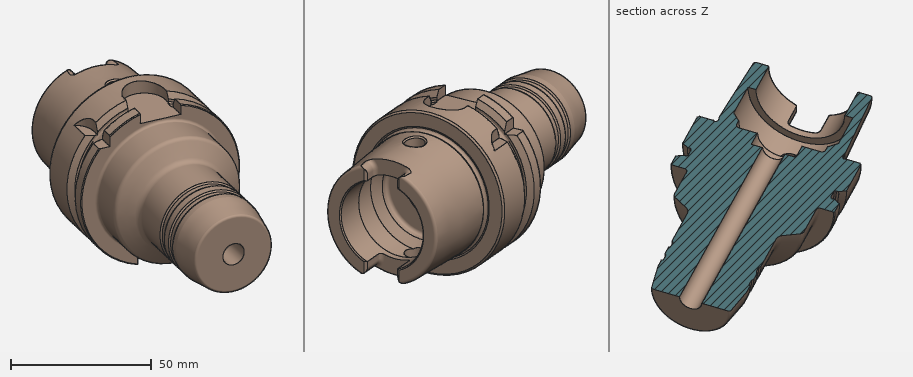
import cadquery as cq
import math

shank_length = 32.0
shank_front_round = 1.2
shank_front_radius = 21.6
taper_end_x = 30.1
taper_end_radius = 24.2

undercut_radius = 24.0
undercut_floor_x = 30.7
undercut_fillet = 0.9
undercut_outer_radius = 25.5
undercut_depth = 0.2

flange_radius = 31.5
flange_width = 26.0
flange_end_x = shank_length + flange_width
flange_front_chamfer = 0.7
flange_rear_chamfer = 0.4
groove_center_x = 50.0
groove_floor_width = 3.9
groove_flank_run = 1.4
groove_flank_angle = math.radians(30)
groove_floor_radius = 27.5
groove_corner_fillet = 0.6
groove_flank_drop = groove_flank_run / math.tan(groove_flank_angle)

shoulder_radius = 24.9
shoulder_root_fillet = 1.0
shoulder_round = 2.0
shoulder_round_start_x = 70.7
cone_angle = math.radians(60)
nose_root_fillet = 2.8

total_length = 117.0
nose_radius = 17.1
nose_taper_start_x = 105.7
nose_taper_end_radius = 15.3
nose_end_round = 0.9
ring_groove_starts = (92.4, 99.2)
ring_groove_width = 3.4
ring_groove_depth = 0.6

bore_chamfer = 0.5
bore_radius = 17.0
bore_straight_depth = 12.6
cavity_radius = 40.0 / 2
bore_depth = shank_length
bore_floor_fillet = 1.3
cavity_end_x = 26.0
step_bore_radius = 17.0 / 2
step_bore_depth = 5.8
through_hole_radius = 8.4 / 2

radial_hole_x = 23.0
radial_hole_diameter = 7.5
radial_hole_chamfer = 0.6

slot_half_width = 6.2
slot_lip_round = 2.8
slot_lip_z = 18.1
slot_floor_fillet = 1.5
slot_entry_chamfer = 1.0
slot_entry_length = 0.7
top_slot_depth = 6.0
bottom_slot_depth = 10.0

keyway_floor = 26.5
keyway_start_x = 37.0
top_keyway_width = 16.0
bottom_keyway_width = 18.0
notch_floor = 20.0
notch_start_x = 37.0
notch_end_radius = 8.0

clearance = 5.8


def add_arc(outline, center, radius, angles):
    """Extend the outline by an arc; angles holds its start and end directions in degrees."""
    start, end = angles
    points = []
    for degrees in ((start + end) / 2, end):
        angle = math.radians(degrees)
        points.append((center[0] + radius * math.cos(angle), center[1] + radius * math.sin(angle)))
    return outline.threePointArc(*points)


def revolve_about_x(outline):
    return outline.close().revolve(360, (0, 0, 0), (1, 0, 0))


def make_body():
    groove_left = groove_center_x - groove_floor_width / 2
    groove_right = groove_center_x + groove_floor_width / 2
    flank_root_radius = flange_radius - groove_flank_drop
    groove_arc_radius = groove_floor_radius + groove_corner_fillet

    cone_start_x = shoulder_round_start_x + shoulder_round * math.sin(cone_angle)
    cone_start_radius = shoulder_radius - shoulder_round * (1 - math.cos(cone_angle))
    cone_end_radius = nose_radius + nose_root_fillet * (1 - math.cos(cone_angle))
    cone_end_x = cone_start_x + (cone_start_radius - cone_end_radius) / math.tan(cone_angle)
    nose_start_x = cone_end_x + nose_root_fillet * math.sin(cone_angle)
    cone_degrees = math.degrees(cone_angle)

    outline = cq.Workplane("XY").lineTo(0, shank_front_radius)
    outline = add_arc(outline, (shank_front_round, shank_front_radius), shank_front_round, (180, 90))
    outline = outline.lineTo(taper_end_x, taper_end_radius).lineTo(undercut_floor_x, undercut_radius)

    undercut_bottom_x = shank_length + undercut_depth
    outline = outline.lineTo(undercut_bottom_x - undercut_fillet, undercut_radius)
    outline = add_arc(
        outline,
        (undercut_bottom_x - undercut_fillet, undercut_radius + undercut_fillet),
        undercut_fillet,
        (-90, 0),
    )
    outline = (
        outline.lineTo(shank_length, undercut_outer_radius)
        .lineTo(shank_length, flange_radius - flange_front_chamfer)
        .lineTo(shank_length + flange_front_chamfer, flange_radius)
        .lineTo(groove_left - groove_flank_run, flange_radius)
        .lineTo(groove_left, flank_root_radius)
        .lineTo(groove_left, groove_arc_radius)
    )
    outline = add_arc(
        outline, (groove_left + groove_corner_fillet, groove_arc_radius), groove_corner_fillet, (180, 270)
    )
    outline = outline.lineTo(groove_right - groove_corner_fillet, groove_floor_radius)
    outline = add_arc(
        outline, (groove_right - groove_corner_fillet, groove_arc_radius), groove_corner_fillet, (270, 360)
    )
    outline = (
        outline.lineTo(groove_right, flank_root_radius)
        .lineTo(groove_right + groove_flank_run, flange_radius)
        .lineTo(flange_end_x - flange_rear_chamfer, flange_radius)
        .lineTo(flange_end_x, flange_radius - flange_rear_chamfer)
        .lineTo(flange_end_x, shoulder_radius + shoulder_root_fillet)
    )
    outline = add_arc(
        outline,
        (flange_end_x + shoulder_root_fillet, shoulder_radius + shoulder_root_fillet),
        shoulder_root_fillet,
        (180, 270),
    )
    outline = outline.lineTo(shoulder_round_start_x, shoulder_radius)
    outline = add_arc(
        outline,
        (shoulder_round_start_x, shoulder_radius - shoulder_round),
        shoulder_round,
        (90, 90 - cone_degrees),
    )
    outline = outline.lineTo(cone_end_x, cone_end_radius)
    outline = add_arc(
        outline, (nose_start_x, nose_radius + nose_root_fillet), nose_root_fillet, (270 - cone_degrees, 270)
    )
    for start_x in ring_groove_starts:
        end_x = start_x + ring_groove_width
        floor_radius = nose_radius - ring_groove_depth
        outline = (
            outline.lineTo(start_x, nose_radius)
            .lineTo(start_x + ring_groove_depth, floor_radius)
            .lineTo(end_x - ring_groove_depth, floor_radius)
            .lineTo(end_x, nose_radius)
        )
    outline = outline.lineTo(nose_taper_start_x, nose_radius)
    outline = outline.lineTo(total_length - nose_end_round, nose_taper_end_radius)
    outline = add_arc(
        outline,
        (total_length - nose_end_round, nose_taper_end_radius - nose_end_round),
        nose_end_round,
        (90, 0),
    )
    return revolve_about_x(outline.lineTo(total_length, 0))


def make_bore():
    step_end_x = bore_depth + step_bore_depth
    cavity_cone_end_x = cavity_end_x + cavity_radius - bore_radius
    fillet_x = bore_depth - bore_floor_fillet
    outline = (
        cq.Workplane("XY")
        .lineTo(0, bore_radius + bore_chamfer)
        .lineTo(bore_chamfer, bore_radius)
        .lineTo(bore_straight_depth, bore_radius)
        .lineTo(bore_straight_depth, cavity_radius)
        .lineTo(cavity_end_x, cavity_radius)
        .lineTo(cavity_cone_end_x, bore_radius)
        .lineTo(fillet_x, bore_radius)
    )
    outline = add_arc(outline, (fillet_x, bore_radius - bore_floor_fillet), bore_floor_fillet, (90, 0))
    outline = (
        outline.lineTo(bore_depth, step_bore_radius)
        .lineTo(step_end_x, step_bore_radius)
        .lineTo(step_end_x, through_hole_radius)
        .lineTo(total_length, through_hole_radius)
        .lineTo(total_length, 0)
    )
    return revolve_about_x(outline)


def cut_radial_holes(body):
    """Holes through the +Z and -Z walls of the shank, chamfered around their mouths."""
    drill = cq.Workplane("XY").center(radial_hole_x, 0).circle(radial_hole_diameter / 2)
    body = body.cut(drill.extrude(flange_radius, both=True))
    reach = radial_hole_diameter
    for low_z, high_z in ((cavity_radius, flange_radius), (-flange_radius, -cavity_radius)):
        mouth = cq.selectors.BoxSelector(
            (radial_hole_x - reach, -reach, low_z), (radial_hole_x + reach, reach, high_z)
        )
        body = body.edges(mouth).chamfer(radial_hole_chamfer)
    return body


def make_drive_slot(depth):
    """Slot on the +Z side, with walls that flare outwards in a round lip."""
    lip_y = slot_half_width + slot_lip_round
    lip_z = slot_lip_z + slot_lip_round
    side_y = lip_y + clearance
    outer_z = flange_radius
    profile = cq.Workplane("YZ").workplane(offset=-clearance)
    profile = profile.moveTo(-slot_half_width, 0).lineTo(slot_half_width, 0)
    profile = profile.lineTo(slot_half_width, slot_lip_z)
    profile = add_arc(profile, (lip_y, slot_lip_z), slot_lip_round, (180, 90))
    profile = profile.lineTo(side_y, lip_z).lineTo(side_y, outer_z)
    profile = profile.lineTo(-side_y, outer_z).lineTo(-side_y, lip_z).lineTo(-lip_y, lip_z)
    profile = add_arc(profile, (-lip_y, slot_lip_z), slot_lip_round, (90, 0))
    slot = profile.close().extrude(depth + clearance).faces(">X").edges().fillet(slot_floor_fillet)

    entry_half_width = slot_half_width + slot_entry_chamfer
    entry = (
        cq.Workplane("XY")
        .moveTo(0, -entry_half_width)
        .lineTo(slot_entry_length, -slot_half_width)
        .lineTo(slot_entry_length, slot_half_width)
        .lineTo(0, entry_half_width)
        .close()
        .extrude(outer_z)
    )
    return slot.union(entry)


def make_keyway(width):
    """Flat-floored keyway on the +Z side with a round end, open to the rear of the flange."""
    half = width / 2
    arc_x = keyway_start_x + half
    return (
        cq.Workplane("XY")
        .workplane(offset=keyway_floor)
        .moveTo(flange_end_x, -half)
        .lineTo(arc_x, -half)
        .threePointArc((keyway_start_x, 0), (arc_x, half))
        .lineTo(flange_end_x, half)
        .close()
        .extrude(clearance)
    )


def make_notch():
    """Corner notch on the -Y +Z side of the flange, with a round end."""
    side_y = -flange_radius
    arc_x = notch_start_x + notch_end_radius
    arc_center = (arc_x, -notch_floor - notch_end_radius)
    outline = (
        cq.Workplane("XY")
        .workplane(offset=notch_floor)
        .moveTo(flange_end_x, side_y)
        .lineTo(flange_end_x, -notch_floor)
        .lineTo(arc_x, -notch_floor)
    )
    outline = add_arc(outline, arc_center, notch_end_radius, (90, 180))
    return outline.lineTo(notch_start_x, side_y).close().extrude(flange_radius - notch_floor)


def on_bottom(cutter):
    """Turn a +Z side cutter about the part axis to the -Z side."""
    return cutter.rotate((0, 0, 0), (1, 0, 0), 180)


result = cut_radial_holes(make_body().cut(make_bore()))
for cutter in (
    make_drive_slot(top_slot_depth),
    on_bottom(make_drive_slot(bottom_slot_depth)),
    make_keyway(top_keyway_width),
    on_bottom(make_keyway(bottom_keyway_width)),
    make_notch(),
):
    result = result.cut(cutter)